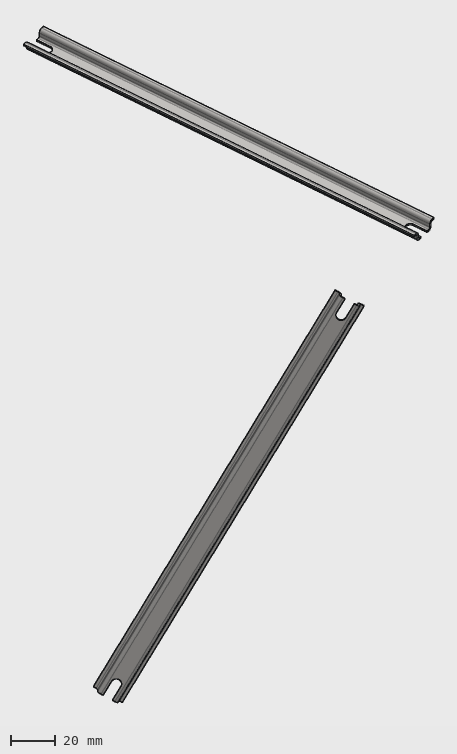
import cadquery as cq

LENGTH = 217.0
WIDTH = 15.0
HEIGHT = 5.5
THICKNESS = 1.0
CHANNEL_WIDTH = 10.6
INNER_BEND = 0.75
FLANGE_BEND = 0.75
SLOT_WIDTH = 4.8
SLOT_LENGTH = 10.0


def block(width, height, bottom):
    """Full-length bar centred on the rail axis, standing on the given height."""
    return cq.Workplane("XY").box(LENGTH, width, height, centered=(True, True, False)).translate(
        (0, 0, bottom)
    )


def rail_body():
    """Bent sheet: a channel with a flange turned outward along each top edge."""
    flange_bottom = HEIGHT - THICKNESS
    inside_width = CHANNEL_WIDTH - 2 * THICKNESS

    channel = block(CHANNEL_WIDTH, HEIGHT, 0)
    flanges = block(WIDTH, THICKNESS, flange_bottom)
    outer = channel.edges("|X and <Z").fillet(INNER_BEND + THICKNESS).union(flanges)
    underside_corners = cq.selectors.BoxSelector(
        (-LENGTH, -CHANNEL_WIDTH / 2 - THICKNESS / 2, flange_bottom - THICKNESS / 2),
        (LENGTH, CHANNEL_WIDTH / 2 + THICKNESS / 2, flange_bottom + THICKNESS / 2),
    )
    outer = outer.edges("|X").edges(underside_corners).fillet(FLANGE_BEND)

    cavity = block(inside_width, HEIGHT - THICKNESS, THICKNESS)
    cavity = cavity.edges("|X and <Z").fillet(INNER_BEND)
    body = outer.cut(cavity)

    lip_corners = cq.selectors.BoxSelector(
        (-LENGTH, -(inside_width + THICKNESS) / 2, flange_bottom),
        (LENGTH, (inside_width + THICKNESS) / 2, HEIGHT + THICKNESS),
    )
    return body.edges("|X").edges(lip_corners).fillet(FLANGE_BEND + THICKNESS)


def end_slots():
    """Two round-ended cutters, each centred on an end face so it opens there."""
    return (
        cq.Workplane("XY")
        .pushPoints([(-LENGTH / 2, 0), (LENGTH / 2, 0)])
        .slot2D(2 * SLOT_LENGTH, SLOT_WIDTH)
        .extrude(HEIGHT)
    )


result = rail_body().cut(end_slots())